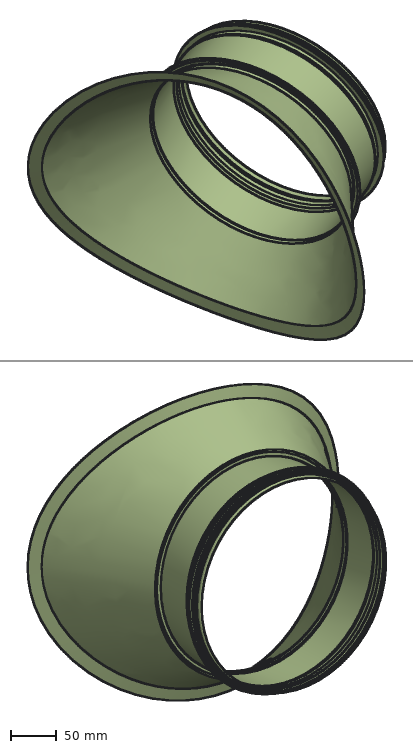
import cadquery as cq
import math


SHEET = 0.62

JOINT_Y = 6.2
SPIGOT_FLANGE_RADIUS = 263.5 / 2
SADDLE_FLANGE_RADIUS = 257.8 / 2

NECK_RADIUS = 248.0 / 2
CONE_SLOPE = math.tan(math.radians(30))
DUCT_RADIUS = 400.0
FOOT_CREST_Y = -71.0
DUCT_AXIS_Y = FOOT_CREST_Y - DUCT_RADIUS
RIM_HALF_X = 414.5 / 2
RIM_HALF_Z = 358.5 / 2
RIM_CREST_Y = -74.5
RIM_LOW_Y = -128.0
CURVE_POINTS = 48

PIPE_RADIUS = 249.0 / 2
PIPE_END_Y = 81.2
END_ROUND = 1.2
END_LIP_RADIUS = 243.3 / 2
GROOVE_RADIUS = 245.5 / 2
GROOVE_FRONT_Y = 75.5
GROOVE_BACK_Y = 56.0
GROOVE_RAMP = 3.7
GROOVE_FLOOR_FRONT_Y = GROOVE_FRONT_Y - GROOVE_RAMP
GROOVE_FLOOR_BACK_Y = GROOVE_BACK_Y + GROOVE_RAMP

SEAL_END_Y = 65.5
FRONT_LIP_ROOT_Y = 73.0
FRONT_LIP_BACK_Y = 70.5
FRONT_LIP_SHOULDER_RADIUS = 252.0 / 2
FRONT_LIP_RADIUS = 254.5 / 2
REAR_LIP_ROOT_Y = 68.0
REAR_LIP_SHOULDER_RADIUS = 257.8 / 2
REAR_LIP_RADIUS = 259.5 / 2
LIP_TIP = 1.2


def circle_point(radius, y):
    """Return a function giving the point of a circle around Y at a polar angle."""
    return lambda angle: (radius * math.cos(angle), y, radius * math.sin(angle))


def foot_point(neck_radius, duct_radius):
    """Return a function giving the point where the cone meets the duct cylinder at a polar angle."""

    def point(angle):
        cos_squared = math.cos(angle) ** 2
        a = 1 + CONE_SLOPE**2 * cos_squared
        b = -2 * (DUCT_AXIS_Y + neck_radius * CONE_SLOPE * cos_squared)
        c = DUCT_AXIS_Y**2 + neck_radius**2 * cos_squared - duct_radius**2
        y = (-b + math.sqrt(b**2 - 4 * a * c)) / (2 * a)
        radius = neck_radius - CONE_SLOPE * y
        return (radius * math.cos(angle), y, radius * math.sin(angle))

    return point


def rim_point(drop):
    """Return a function giving the point of the elliptical rim, bent to an arc, at a polar angle."""
    sag = RIM_CREST_Y - RIM_LOW_Y
    bend_radius = (RIM_HALF_X**2 + sag**2) / (2 * sag)

    def point(angle):
        radius = 1 / math.hypot(math.cos(angle) / RIM_HALF_X, math.sin(angle) / RIM_HALF_Z)
        x = radius * math.cos(angle)
        y = RIM_CREST_Y - drop - bend_radius + math.sqrt(bend_radius**2 - x**2)
        return (x, y, radius * math.sin(angle))

    return point


def closed_curve(point):
    """Join the points at equal polar angles into one smooth closed curve."""
    angles = [2 * math.pi * i / CURVE_POINTS for i in range(CURVE_POINTS + 1)]
    points = [cq.Vector(*point(angle)) for angle in angles[:-1]]
    return cq.Edge.makeSpline(points, periodic=True, parameters=angles)


def make_saddle():
    """Neck flange, neck, cone and saddle flange as one sheet, skinned by ruled faces."""
    bore_radius = NECK_RADIUS - SHEET
    flange_y = JOINT_Y - SHEET
    outline = [
        circle_point(bore_radius, JOINT_Y),
        circle_point(SADDLE_FLANGE_RADIUS, JOINT_Y),
        circle_point(SADDLE_FLANGE_RADIUS, flange_y),
        circle_point(NECK_RADIUS, flange_y),
        circle_point(NECK_RADIUS, 0),
        foot_point(NECK_RADIUS, DUCT_RADIUS),
        rim_point(0),
        rim_point(SHEET),
        foot_point(bore_radius, DUCT_RADIUS - SHEET),
        circle_point(bore_radius, 0),
    ]
    curves = [closed_curve(point) for point in outline]
    next_curves = curves[1:] + curves[:1]
    faces = [cq.Face.makeRuledSurface(a, b) for a, b in zip(curves, next_curves)]
    return cq.Workplane(cq.Solid.makeSolid(cq.Shell.makeShell(faces)))


def revolve_about_y(profile):
    """Close a radius-Y profile and turn it into a ring around the branch axis."""
    return profile.close().revolve(360, (0, 0, 0), (0, 1, 0))


def make_spigot():
    """Sheet pipe with a joint flange, a seal groove pressed inwards and an inturned end."""
    bore_radius = PIPE_RADIUS - SHEET
    groove_bore_radius = GROOVE_RADIUS - SHEET
    end_bend_radius = PIPE_RADIUS - END_ROUND
    end_bend_y = PIPE_END_Y - END_ROUND
    profile = (
        cq.Workplane("XY")
        .moveTo(bore_radius, JOINT_Y)
        .lineTo(SPIGOT_FLANGE_RADIUS, JOINT_Y)
        .lineTo(SPIGOT_FLANGE_RADIUS, JOINT_Y + SHEET)
        .lineTo(PIPE_RADIUS, JOINT_Y + SHEET)
        .lineTo(PIPE_RADIUS, GROOVE_BACK_Y)
        .lineTo(GROOVE_RADIUS, GROOVE_FLOOR_BACK_Y)
        .lineTo(GROOVE_RADIUS, GROOVE_FLOOR_FRONT_Y)
        .lineTo(PIPE_RADIUS, GROOVE_FRONT_Y)
        .lineTo(PIPE_RADIUS, end_bend_y)
        .radiusArc((end_bend_radius, PIPE_END_Y), -END_ROUND)
        .lineTo(END_LIP_RADIUS, PIPE_END_Y)
        .lineTo(END_LIP_RADIUS, PIPE_END_Y - SHEET)
        .lineTo(end_bend_radius, PIPE_END_Y - SHEET)
        .radiusArc((bore_radius, end_bend_y), END_ROUND - SHEET)
        .lineTo(bore_radius, GROOVE_FRONT_Y)
        .lineTo(groove_bore_radius, GROOVE_FLOOR_FRONT_Y)
        .lineTo(groove_bore_radius, GROOVE_FLOOR_BACK_Y)
        .lineTo(bore_radius, GROOVE_BACK_Y)
    )
    return revolve_about_y(profile)


def make_seal():
    """Two-lipped ring filling the front of the groove flush with the pipe."""
    profile = (
        cq.Workplane("XY")
        .moveTo(GROOVE_RADIUS, GROOVE_FLOOR_FRONT_Y)
        .lineTo(PIPE_RADIUS, GROOVE_FRONT_Y)
        .lineTo(PIPE_RADIUS, FRONT_LIP_ROOT_Y)
        .lineTo(FRONT_LIP_SHOULDER_RADIUS, FRONT_LIP_ROOT_Y)
        .lineTo(FRONT_LIP_RADIUS, FRONT_LIP_BACK_Y + LIP_TIP)
        .lineTo(FRONT_LIP_RADIUS, FRONT_LIP_BACK_Y)
        .lineTo(PIPE_RADIUS, FRONT_LIP_BACK_Y)
        .lineTo(PIPE_RADIUS, REAR_LIP_ROOT_Y)
        .lineTo(REAR_LIP_SHOULDER_RADIUS, REAR_LIP_ROOT_Y)
        .lineTo(REAR_LIP_RADIUS, SEAL_END_Y + LIP_TIP)
        .lineTo(REAR_LIP_RADIUS, SEAL_END_Y)
        .lineTo(GROOVE_RADIUS, SEAL_END_Y)
    )
    return revolve_about_y(profile)


saddle = make_saddle()
spigot = make_spigot()
seal = make_seal()

result = cq.Compound.makeCompound([saddle.val(), spigot.val(), seal.val()])